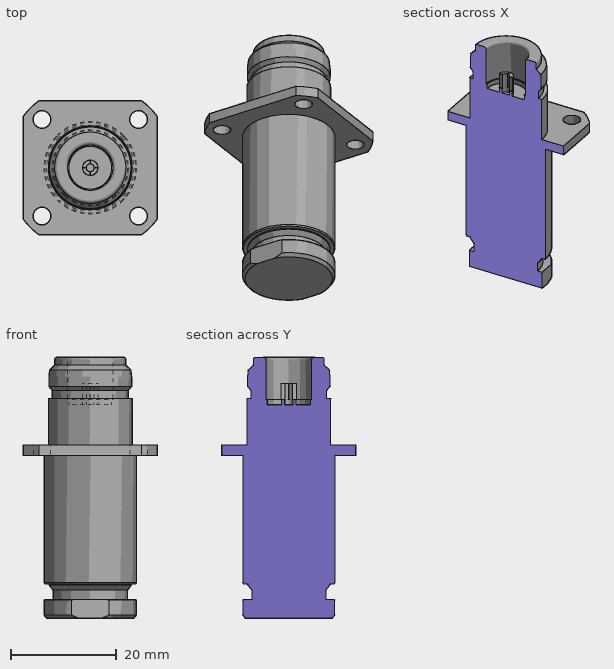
import cadquery as cq
import math

TOTAL_LENGTH = 49.42

FLANGE_SIDE = 25.4
FLANGE_CORNER_DIAMETER = 32.0
FLANGE_BOTTOM = 30.8
FLANGE_TOP = 32.8
FLANGE_HOLE_SPACING = 18.26
FLANGE_HOLE_DIAMETER = 3.3

BARREL_RADIUS = 7.95
BARREL_TOP = 41.62
NECK_RADIUS = 7.2
NECK_TOP = 43.12
COLLAR_RADIUS = 7.85
COLLAR_CONE_BOTTOM = 43.88
COLLAR_TAPER_START = 45.68
COLLAR_TAPER_END = 47.0
COLLAR_TAPER = 0.15
NOSE_RADIUS = 6.75
NOSE_BOTTOM = 47.92
NOSE_FILLET = 0.5

BORE_RADIUS = 4.28
BORE_LIP_FILLET = 0.55
BORE_DEPTH = 8.0
BORE_END_RADIUS = 4.05
BORE_END_DEPTH = 9.0
CONTACT_RADIUS = 1.45
CONTACT_RECESS = 5.0
CONTACT_HOLE_RADIUS = 0.75
CONTACT_SLOT_WIDTH = 0.1
CONTACT_SLOT_DEPTH = 3.0

BODY_RADIUS = 8.75
BODY_BOTTOM = 6.5
BODY_CHAMFER_WIDTH = 0.15
BODY_CHAMFER_HEIGHT = 0.3
STEP_RADIUS = 7.8
STEP_HEIGHT = 0.2
GROOVE_RADIUS = 7.05
GROOVE_TOP = 5.35

NUT_HEIGHT = 3.6
NUT_TOP_CHAMFER = 0.15
NUT_BOTTOM_CHAMFER_WIDTH = 0.5
NUT_BOTTOM_CHAMFER_HEIGHT = 0.65
NUT_ACROSS_FLATS = 16.0


def make_turned_body():
    """Revolve the stepped outer profile about the Z axis."""
    nose_shoulder = NOSE_RADIUS - NOSE_FILLET
    arc_offset = NOSE_FILLET * math.sqrt(0.5)
    nose_arc_mid = (nose_shoulder + arc_offset, TOTAL_LENGTH - NOSE_FILLET + arc_offset)
    profile = (
        cq.Workplane("XZ")
        .moveTo(0, 0)
        .lineTo(BODY_RADIUS - NUT_BOTTOM_CHAMFER_WIDTH, 0)
        .lineTo(BODY_RADIUS, NUT_BOTTOM_CHAMFER_HEIGHT)
        .lineTo(BODY_RADIUS, NUT_HEIGHT - NUT_TOP_CHAMFER)
        .lineTo(BODY_RADIUS - NUT_TOP_CHAMFER, NUT_HEIGHT)
        .lineTo(GROOVE_RADIUS, NUT_HEIGHT)
        .lineTo(GROOVE_RADIUS, GROOVE_TOP)
        .lineTo(STEP_RADIUS, BODY_BOTTOM - STEP_HEIGHT)
        .lineTo(STEP_RADIUS, BODY_BOTTOM)
        .lineTo(BODY_RADIUS - BODY_CHAMFER_WIDTH, BODY_BOTTOM)
        .lineTo(BODY_RADIUS, BODY_BOTTOM + BODY_CHAMFER_HEIGHT)
        .lineTo(BODY_RADIUS, FLANGE_BOTTOM)
        .lineTo(BARREL_RADIUS, FLANGE_BOTTOM)
        .lineTo(BARREL_RADIUS, BARREL_TOP)
        .lineTo(NECK_RADIUS, BARREL_TOP)
        .lineTo(NECK_RADIUS, NECK_TOP)
        .lineTo(COLLAR_RADIUS, COLLAR_CONE_BOTTOM)
        .lineTo(COLLAR_RADIUS, COLLAR_TAPER_START)
        .lineTo(COLLAR_RADIUS - COLLAR_TAPER, COLLAR_TAPER_END)
        .lineTo(NOSE_RADIUS, NOSE_BOTTOM)
        .lineTo(NOSE_RADIUS, TOTAL_LENGTH - NOSE_FILLET)
        .threePointArc(nose_arc_mid, (nose_shoulder, TOTAL_LENGTH))
        .lineTo(0, TOTAL_LENGTH)
        .close()
    )
    return profile.revolve(360, (0, 0, 0), (0, 1, 0))


def make_flange():
    """Square plate with arc corners and a hole near each corner."""
    thickness = FLANGE_TOP - FLANGE_BOTTOM
    base = cq.Workplane("XY").workplane(offset=FLANGE_BOTTOM)
    plate = base.rect(FLANGE_SIDE, FLANGE_SIDE).extrude(thickness)
    corner_disc = base.circle(FLANGE_CORNER_DIAMETER / 2).extrude(thickness)
    holes = (
        base.rect(FLANGE_HOLE_SPACING, FLANGE_HOLE_SPACING, forConstruction=True)
        .vertices()
        .circle(FLANGE_HOLE_DIAMETER / 2)
        .extrude(thickness)
    )
    return plate.intersect(corner_disc).cut(holes)


def cut_nut_flats(part):
    """Cut the two opposite wrench flats on the clamp nut."""
    flat_depth = BODY_RADIUS - NUT_ACROSS_FLATS / 2
    flat_center = NUT_ACROSS_FLATS / 2 + flat_depth / 2
    for side in (-1, 1):
        cutter = (
            cq.Workplane("XY")
            .center(0, side * flat_center)
            .rect(2 * BODY_RADIUS, flat_depth)
            .extrude(NUT_HEIGHT)
        )
        part = part.cut(cutter)
    return part


def make_socket_cavity():
    """Space inside the coupling end: stepped bore with a rounded lip."""
    lip_radius = BORE_RADIUS + BORE_LIP_FILLET
    lip_bottom = TOTAL_LENGTH - BORE_LIP_FILLET
    arc_offset = BORE_LIP_FILLET * math.sqrt(0.5)
    lip_arc_mid = (lip_radius - arc_offset, lip_bottom + arc_offset)
    profile = (
        cq.Workplane("XZ")
        .moveTo(0, TOTAL_LENGTH - BORE_END_DEPTH)
        .lineTo(BORE_END_RADIUS, TOTAL_LENGTH - BORE_END_DEPTH)
        .lineTo(BORE_END_RADIUS, TOTAL_LENGTH - BORE_DEPTH)
        .lineTo(BORE_RADIUS, TOTAL_LENGTH - BORE_DEPTH)
        .lineTo(BORE_RADIUS, lip_bottom)
        .threePointArc(lip_arc_mid, (lip_radius, TOTAL_LENGTH))
        .lineTo(0, TOTAL_LENGTH)
        .close()
    )
    return profile.revolve(360, (0, 0, 0), (0, 1, 0))


def make_contact():
    """Hollow centre contact with four slots, standing on the bore floor."""
    tip = cq.Workplane("XY").workplane(offset=TOTAL_LENGTH - CONTACT_RECESS)
    contact_height = BORE_END_DEPTH - CONTACT_RECESS
    contact = tip.circle(CONTACT_RADIUS).extrude(-contact_height)
    contact = contact.cut(tip.circle(CONTACT_HOLE_RADIUS).extrude(-contact_height))
    for angle in (0, 90):
        slot = tip.rect(2 * CONTACT_RADIUS, CONTACT_SLOT_WIDTH).extrude(-CONTACT_SLOT_DEPTH)
        contact = contact.cut(slot.rotate((0, 0, 0), (0, 0, 1), angle))
    return contact


result = make_turned_body().union(make_flange())
result = cut_nut_flats(result)
result = result.cut(make_socket_cavity()).union(make_contact())